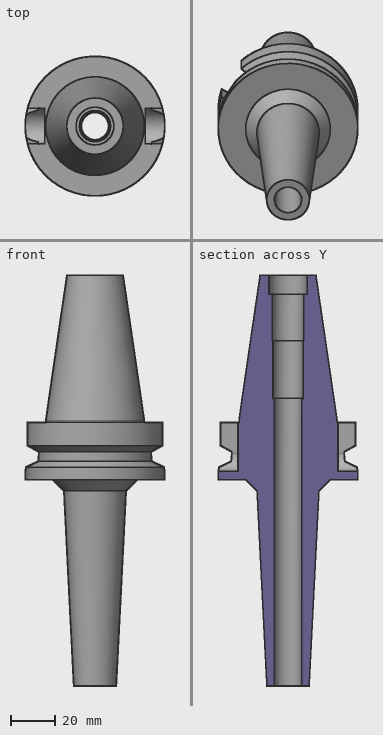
import cadquery as cq

total_height = 185.4
gauge_height = 120.0
relief_height = 1.0
flange_top = gauge_height - relief_height
flange_thickness = 26.0
flange_bottom = flange_top - flange_thickness
collar_height = 5.0
collar_bottom = flange_bottom - collar_height

taper_top_diameter = 25.4
taper_base_diameter = 44.5
flange_diameter = 63.0
groove_diameter = 53.4
collar_diameter = 38.2
neck_diameter = 28.2
nose_diameter = 19.3

groove_upper_edge = 10.5
groove_root_top = 13.3
groove_root_bottom = 17.6
groove_lower_edge = 20.2

slot_width = 16.1
slot_depth = 22.0
slot_floor_radius = 22.6

socket_diameter = 17.0
socket_depth = 8.5
thread_diameter = 14.0
thread_depth = 29.7
lower_bore_diameter = 13.3
lower_bore_depth = 55.6
through_diameter = 12.2


def make_body():
    """Revolve the taper, flange and neck about Z."""
    flange_radius = flange_diameter / 2
    groove_radius = groove_diameter / 2
    taper_radius = taper_base_diameter / 2
    return (
        cq.Workplane("XZ")
        .moveTo(0, 0)
        .lineTo(nose_diameter / 2, 0)
        .lineTo(neck_diameter / 2, collar_bottom)
        .lineTo(collar_diameter / 2, flange_bottom)
        .lineTo(flange_radius, flange_bottom)
        .lineTo(flange_radius, flange_top - groove_lower_edge)
        .lineTo(groove_radius, flange_top - groove_root_bottom)
        .lineTo(groove_radius, flange_top - groove_root_top)
        .lineTo(flange_radius, flange_top - groove_upper_edge)
        .lineTo(flange_radius, flange_top)
        .lineTo(taper_radius, flange_top)
        .lineTo(taper_radius, gauge_height)
        .lineTo(taper_top_diameter / 2, total_height)
        .lineTo(0, total_height)
        .close()
        .revolve(360, (0, 0, 0), (0, 1, 0))
    )


def make_drive_slot(side):
    """Round-bottomed slot cutter on the +X (side=1) or -X (side=-1) rim."""
    half_width = slot_width / 2
    slot_bottom = flange_top - slot_depth
    arc_height = slot_bottom + half_width
    return (
        cq.Workplane("YZ", origin=(side * slot_floor_radius, 0, 0))
        .moveTo(-half_width, flange_top)
        .lineTo(-half_width, arc_height)
        .threePointArc((0, slot_bottom), (half_width, arc_height))
        .lineTo(half_width, flange_top)
        .close()
        .extrude(side * flange_diameter / 2)
    )


def make_bore(diameter, depth):
    """Cylinder reaching down from the top of the taper."""
    return (
        cq.Workplane("XY", origin=(0, 0, total_height - depth))
        .circle(diameter / 2)
        .extrude(depth)
    )


result = make_body()
for side in (1, -1):
    result = result.cut(make_drive_slot(side))

bore_steps = (
    (socket_diameter, socket_depth),
    (thread_diameter, thread_depth),
    (lower_bore_diameter, lower_bore_depth),
    (through_diameter, total_height),
)
for diameter, depth in bore_steps:
    result = result.cut(make_bore(diameter, depth))